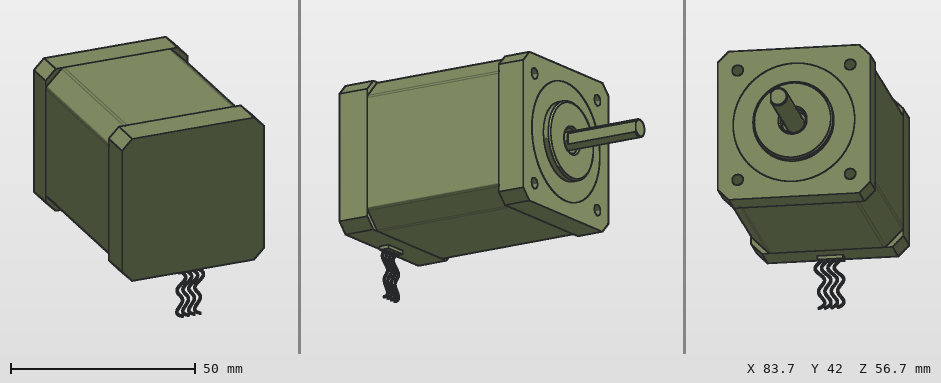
import cadquery as cq

motor_length = 83.7
flange_x = 24.0
front_cap_length = 7.95
rear_cap_length = 9.0
stack_x = flange_x + front_cap_length
rear_cap_x = motor_length - rear_cap_length

body_width = 42.0
cap_chamfer = 3.0
stack_chamfer = 5.0
stack_edge_radius = 1.0

boss_diameter = 22.0
boss_height = 2.0
boss_chamfer = 0.5
boss_x = flange_x - boss_height
recess_diameter = 33.5
recess_depth = 0.1
screw_hole_diameter = 3.0
screw_hole_spacing = 31.0
bore_diameter = 6.95
bore_depth = 4.0
bore_chamfer = 0.5
bore_chamfer_angle = 45

shaft_diameter = 5.0
shaft_flat_height = 2.0
shaft_chamfer = 0.25
shaft_end_x = boss_x + bore_depth

grommet_x = motor_length - 3.0
grommet_length = 2.85
grommet_width = 7.0
grommet_height = 1.0
wire_count = 4
wire_pitch = 1.75
wire_diameter = 0.5
wire_waves = [
    (-0.25, 0.25),
    (0.8, -0.7),
    (1.75, -2.0),
    (-0.8, -5.5),
    (0.8, -8.6),
    (-0.8, -11.7),
    (0.8, -13.5),
]


def yz_plane(x):
    """Plane across the motor axis at x, with local directions (Y, Z) and normal +X."""
    return cq.Workplane("YZ", origin=(x, 0, 0))


def chamfered_block(x, length, chamfer):
    """Square block along X with its four long edges chamfered."""
    return yz_plane(x).rect(body_width, body_width).extrude(length).edges("|X").chamfer(chamfer)


def make_bore():
    """Clearance hole around the shaft, with a chamfered mouth and a flat floor."""
    bore = yz_plane(boss_x).circle(bore_diameter / 2).extrude(bore_depth)
    mouth_radius = bore_diameter / 2 + bore_chamfer
    mouth = yz_plane(boss_x).circle(mouth_radius).extrude(bore_chamfer, taper=bore_chamfer_angle)
    return bore.union(mouth)


def make_front_cap():
    """Chamfered square cap with a shallow round recess, a boss, a shaft bore and four screw holes."""
    cap = chamfered_block(flange_x, front_cap_length, cap_chamfer)
    recess = yz_plane(flange_x).circle(recess_diameter / 2).extrude(recess_depth)
    boss = yz_plane(boss_x).circle(boss_diameter / 2).extrude(boss_height + recess_depth)
    boss = boss.faces("<X").chamfer(boss_chamfer)
    cap = cap.cut(recess).union(boss)
    holes = (
        yz_plane(flange_x)
        .rect(screw_hole_spacing, screw_hole_spacing, forConstruction=True)
        .vertices()
        .circle(screw_hole_diameter / 2)
        .extrude(front_cap_length)
    )
    return cap.cut(holes).cut(make_bore())


def make_stack():
    """Middle block, chamfered deeper than the caps and with softened chamfer edges."""
    stack = chamfered_block(stack_x, rear_cap_x - stack_x, stack_chamfer)
    return stack.edges("|X").fillet(stack_edge_radius)


def make_rear_cap():
    """Plain chamfered square cap."""
    return chamfered_block(rear_cap_x, rear_cap_length, cap_chamfer)


def make_shaft():
    """D-shaped shaft, full round inside the bore, standing on the bore floor."""
    shaft = yz_plane(0).circle(shaft_diameter / 2).extrude(shaft_end_x)
    shaft = shaft.faces("<X").chamfer(shaft_chamfer)
    flat = (
        cq.Workplane("XY")
        .box(boss_x, shaft_diameter, shaft_diameter, centered=(False, False, True))
        .translate((0, shaft_flat_height, 0))
    )
    return shaft.cut(flat)


def make_wire(y, top_z):
    """Wavy round wire in the plane x = grommet_x, leaving the grommet at (y, top_z)."""
    points = [(y + dy, top_z + dz) for dy, dz in wire_waves]
    path = yz_plane(grommet_x).spline(points)
    spline = path.val()
    section = cq.Workplane(cq.Plane(spline.startPoint(), (1, 0, 0), spline.tangentAt(0)))
    return section.circle(wire_diameter / 2).sweep(path)


def make_leads():
    """Grommet under the rear cap with its row of wires, as one solid."""
    underside_z = -body_width / 2
    leads = (
        cq.Workplane("XY", origin=(grommet_x, 0, underside_z))
        .rect(grommet_length, grommet_width)
        .extrude(-grommet_height)
    )
    for i in range(wire_count):
        y = (i - (wire_count - 1) / 2) * wire_pitch
        leads = leads.union(make_wire(y, underside_z - grommet_height))
    return leads


front_cap = make_front_cap()
stack = make_stack()
rear_cap = make_rear_cap()
shaft = make_shaft()
leads = make_leads()

result = cq.Compound.makeCompound(
    [front_cap.val(), stack.val(), rear_cap.val(), shaft.val(), leads.val()]
)